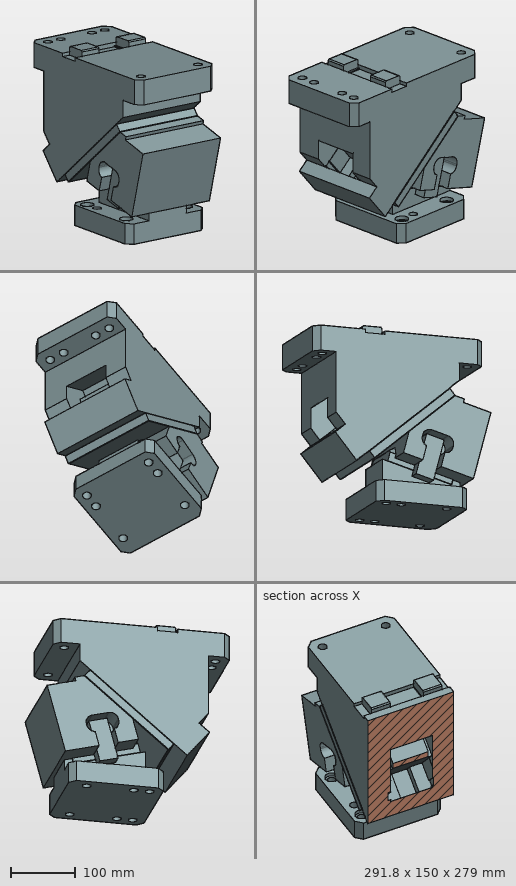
import cadquery as cq
import math

WIDTH = 150.0
CORNER = 10.4
SLIDE_ANGLE = 40.0
TRAVEL_ANGLE = -15.0
HOLE_DIAMETER = 13.5

PLATE_LENGTH = 280.0
PLATE_TOP = 270.0
PLATE_THICKNESS = 40.0
WEDGE_LEFT = 35.5
WEDGE_RIGHT = 239.7
TIP_X = 69.5
TIP_Z = 59.4
LEDGE_HEIGHT = 55.2
LEDGE_DEPTH = 21.6
DRIVER_HOLE_X = (20.0, 260.0)
DRIVER_HOLE_Y = 55.0
EXTRA_HOLE_Y = 30.0
GROOVE_LEFT = 84.2
GROOVE_WIDTH = 32.4
GROOVE_DEPTH = 5.5
GROOVE_POCKET_DEPTH = 1.6
GROOVE_POCKET_Y = (-28.7, 25.0)
KEY_LENGTH = 32.4
KEY_Y = 45.0
KEY_TOP = 279.0
KEY_CHAMFER = 2.0

WINDOW_Y = (-38.0, 35.0)
WINDOW_TOP_Z = 165.0
WINDOW_END = 63.0
SIDE_SHELF = 70.0
CORE_SHELF = 80.7
CORE_Y = (-30.5, 31.0)
SHELF_END = 100.0
POCKET_FLOOR = 19.0
POCKET_WALL_INSET = 0.3
RUNNER_INNER_Y = 16.0
RUNNER_HEIGHT = 13.0
CHEEK_START = 24.0
CHEEK_END = 33.5
CHEEK_Y = 39.0

SLIDER_X = 262.9
SLIDER_Z = 47.8
SLIDER_LENGTH = 120.0
SLIDER_HEIGHT = 111.6
STEP_HEIGHT = 5.8
STEP_INSET = 47.0
FOOT_WIDTH = 76.0
FOOT_LEFT = 130.0
FOOT_RIGHT = 20.4
FOOT_DEPTH = 8.2
NOSE_SHOULDER = 11.0
NOSE_TOP = 21.0
NOSE_CHAMFER_START = 6.5
KEEPER_CENTRE = 71.2
KEEPER_WIDTH = 30.0
KEEPER_TOP = 49.0
KEEPER_BOTTOM = -18.5
KEEPER_OUTER_Y = 56.7
SLOT_CLEARANCE = 0.7
SLOT_EYE_LENGTH = 52.4
SLOT_EYE_WIDTH = 27.5
SLOT_EYE_RADIUS = 12.5
SLOT_EYE_HEIGHT = 37.5

WEAR_START = 27.2
WEAR_END = 200.8
WEAR_BOTTOM = 14.4
WEAR_CHAMFER = 0.8

BASE_LEFT = 105.0
BASE_LENGTH = 150.3
BASE_THICKNESS = 33.0
BLOCK_LEFT = 126.9
BLOCK_WIDTH = 72.0
BASE_BOLT_X = (125.0, 225.0)
BASE_DOWEL_X = 150.0
BASE_HOLE_Y = 57.5
COUNTERBORE_DIAMETER = 21.0
COUNTERBORE_DEPTH = 6.0

BASE_RIGHT = BASE_LEFT + BASE_LENGTH
WEDGE_TOP = PLATE_TOP - PLATE_THICKNESS
BIG = 400.0


def direction(angle):
    """Cosine and sine of an angle in degrees."""
    return math.cos(math.radians(angle)), math.sin(math.radians(angle))


def side_plane(x, z, angle):
    """Plane facing -Y whose local x axis is turned by angle in the XZ plane."""
    c, s = direction(angle)
    return cq.Plane(origin=(x, 0, z), xDir=(c, 0, s), normal=(0, -1, 0))


UPRIGHT = side_plane(0, 0, 0)
SLIDE = side_plane(TIP_X, TIP_Z, SLIDE_ANGLE)
SEAT = side_plane(SLIDER_X, SLIDER_Z, TRAVEL_ANGLE)


def world_xz(plane, along, square):
    """X and Z of a point given in one of the side planes."""
    point = plane.toWorldCoords((along, square))
    return point.x, point.z


def prism(plane, points, y_min, y_max):
    """Closed outline on a side plane, extruded from y_min to y_max."""
    solid = cq.Workplane(plane).polyline(points).close().extrude(y_max - y_min)
    return solid.translate((0, y_max, 0))


def bar(plane, along, square, y_range):
    """Rectangular prism given by its ranges along and square to a side plane and in Y."""
    a0, a1 = along
    s0, s1 = square
    return prism(plane, [(a0, s0), (a1, s0), (a1, s1), (a0, s1)], *y_range)


def both_sides(inner, outer):
    """Mirrored Y ranges on the two sides of the centre plane."""
    return ((inner, outer), (-outer, -inner))


FULL_Y = (-WIDTH / 2, WIDTH / 2)


def mounting_plate(left, length, bottom, thickness):
    plate = cq.Workplane("XY").box(length, WIDTH, thickness, centered=(False, True, False))
    return plate.edges("|Z").chamfer(CORNER).translate((left, 0, bottom))


def vertical_holes(points, diameter, bottom, height):
    return cq.Workplane("XY", origin=(0, 0, bottom)).pushPoints(points).circle(diameter / 2).extrude(height)


def driver_wedge():
    cos_slide, sin_slide = direction(SLIDE_ANGLE)
    notch_x, notch_z = world_xz(SLIDE, LEDGE_DEPTH, LEDGE_HEIGHT)
    outline = [
        (WEDGE_LEFT, WEDGE_TOP),
        (WEDGE_LEFT, notch_z + (notch_x - WEDGE_LEFT) * cos_slide / sin_slide),
        (notch_x, notch_z),
        world_xz(SLIDE, 0, LEDGE_HEIGHT),
        (TIP_X, TIP_Z),
        (WEDGE_RIGHT, TIP_Z + (WEDGE_RIGHT - TIP_X) * sin_slide / cos_slide),
        (WEDGE_RIGHT, WEDGE_TOP),
    ]
    return prism(UPRIGHT, outline, *FULL_Y)


def driver_window():
    """Opening above the ledge, with a pocket that drops behind the ledge."""
    roof = SLIDE.toLocalCoords(cq.Vector(WEDGE_LEFT, 0, WINDOW_TOP_Z)).y
    window = bar(SLIDE, (-LEDGE_DEPTH, WINDOW_END), (LEDGE_HEIGHT, roof), WINDOW_Y)
    beyond = (WINDOW_END, SHELF_END)
    window = window.union(bar(SLIDE, beyond, (CORE_SHELF, roof), WINDOW_Y))
    for y_range in ((WINDOW_Y[0], CORE_Y[0]), (CORE_Y[1], WINDOW_Y[1])):
        window = window.union(bar(SLIDE, beyond, (SIDE_SHELF, CORE_SHELF), y_range))
    behind_ledge = (LEDGE_DEPTH, WINDOW_END)
    depth = (POCKET_FLOOR, LEDGE_HEIGHT)
    pocket_y = (WINDOW_Y[0] + POCKET_WALL_INSET, WINDOW_Y[1] - POCKET_WALL_INSET)
    window = window.union(bar(SLIDE, behind_ledge, depth, pocket_y))
    window = window.union(bar(SLIDE, (CHEEK_START, CHEEK_END), depth, (-CHEEK_Y, CHEEK_Y)))
    between_runners = (-RUNNER_INNER_Y, RUNNER_INNER_Y)
    deep = (POCKET_FLOOR - RUNNER_HEIGHT, POCKET_FLOOR)
    return window.union(bar(SLIDE, behind_ledge, deep, between_runners))


def key_groove():
    along = (GROOVE_LEFT, GROOVE_LEFT + GROOVE_WIDTH)
    floor = PLATE_TOP - GROOVE_DEPTH
    groove = bar(UPRIGHT, along, (floor, KEY_TOP), FULL_Y)
    return groove.union(bar(UPRIGHT, along, (floor - GROOVE_POCKET_DEPTH, floor), GROOVE_POCKET_Y))


def key(y_range):
    floor = PLATE_TOP - GROOVE_DEPTH
    block = bar(UPRIGHT, (GROOVE_LEFT, GROOVE_LEFT + GROOVE_WIDTH), (floor, KEY_TOP), y_range)
    return block.faces(">Z").edges("|Y").chamfer(KEY_CHAMFER)


def make_driver():
    body = mounting_plate(0, PLATE_LENGTH, WEDGE_TOP, PLATE_THICKNESS).union(driver_wedge())
    body = body.cut(driver_window()).cut(key_groove())
    for y_range in both_sides(KEY_Y - KEY_LENGTH / 2, KEY_Y + KEY_LENGTH / 2):
        body = body.union(key(y_range))
    points = [(x, side * DRIVER_HOLE_Y) for x in DRIVER_HOLE_X for side in (-1, 1)]
    points += [(DRIVER_HOLE_X[0], side * EXTRA_HOLE_Y) for side in (-1, 1)]
    return body.cut(vertical_holes(points, HOLE_DIAMETER, WEDGE_TOP, PLATE_THICKNESS))


def slider_body():
    apex = SEAT.toLocalCoords(SLIDE.toWorldCoords((WEAR_END, -WEAR_BOTTOM)))
    slope = math.tan(math.radians(SLIDE_ANGLE - TRAVEL_ANGLE))
    left_top = apex.y - (apex.x + SLIDER_LENGTH) * slope
    outline = [
        (0, 0),
        (0, SLIDER_HEIGHT),
        (-STEP_INSET, SLIDER_HEIGHT),
        (-STEP_INSET, SLIDER_HEIGHT + STEP_HEIGHT),
        (apex.x, apex.y),
        (-SLIDER_LENGTH, left_top),
        (-SLIDER_LENGTH, 0),
    ]
    return prism(SEAT, outline, *FULL_Y)


def wear_plate():
    plate = bar(SLIDE, (WEAR_START, WEAR_END), (-WEAR_BOTTOM, 0), FULL_Y)
    sliding_and_seated_faces = plate.faces(cq.selectors.ParallelDirSelector(SLIDE.yDir))
    return sliding_and_seated_faces.edges().chamfer(WEAR_CHAMFER)


def foot():
    """Narrow foot on the base block, with a sloped nose in front of the slider."""
    half = FOOT_WIDTH / 2
    sole = bar(SEAT, (-FOOT_LEFT, -FOOT_RIGHT), (-FOOT_DEPTH, 0), (-half, half))
    outline = [
        (-FOOT_LEFT, 0),
        (-SLIDER_LENGTH, 0),
        (-SLIDER_LENGTH, NOSE_TOP),
        (-FOOT_LEFT, NOSE_SHOULDER),
    ]
    nose = prism(SEAT, outline, -half, half)
    rise = NOSE_TOP - NOSE_CHAMFER_START
    front = cq.Plane(
        origin=SEAT.toWorldCoords((-FOOT_LEFT, 0)).toTuple(), xDir=(0, 1, 0), normal=SEAT.xDir.toTuple()
    )
    section = [
        (-half, 0),
        (half, 0),
        (half, NOSE_CHAMFER_START),
        (half - rise, NOSE_TOP),
        (rise - half, NOSE_TOP),
        (-half, NOSE_CHAMFER_START),
    ]
    roof = cq.Workplane(front).polyline(section).close().extrude(FOOT_LEFT - SLIDER_LENGTH)
    return sole.union(nose.intersect(roof))


def keeper_slot(y_range):
    """Slot open at the bottom of the slider side, with a wider rounded eye at its top."""
    half = KEEPER_WIDTH / 2 + SLOT_CLEARANCE
    slot = bar(SEAT, (-KEEPER_CENTRE - half, -KEEPER_CENTRE + half), (0, SLOT_EYE_HEIGHT), y_range)
    eye = bar(
        SEAT,
        (-KEEPER_CENTRE - SLOT_EYE_LENGTH / 2, -KEEPER_CENTRE + SLOT_EYE_LENGTH / 2),
        (SLOT_EYE_HEIGHT - SLOT_EYE_WIDTH / 2, SLOT_EYE_HEIGHT + SLOT_EYE_WIDTH / 2),
        y_range,
    )
    eye = eye.edges("|Y").fillet(SLOT_EYE_RADIUS)
    return slot.union(eye)


def keeper(y_range):
    half = KEEPER_WIDTH / 2
    along = (-KEEPER_CENTRE - half, -KEEPER_CENTRE + half)
    return bar(SEAT, along, (KEEPER_BOTTOM, KEEPER_TOP), y_range)


def make_slider():
    body = slider_body().union(wear_plate()).union(foot())
    for y_range in both_sides(FOOT_WIDTH / 2, WIDTH / 2):
        body = body.cut(keeper_slot(y_range))
    for y_range in both_sides(FOOT_WIDTH / 2, KEEPER_OUTER_Y):
        body = body.union(keeper(y_range))
    return body


def base_block():
    """Block whose sloped top carries the foot and steps up behind it to the slider."""
    half = BLOCK_WIDTH / 2
    above_seat = bar(SEAT, (-BIG, BIG), (0, BIG), FULL_Y)
    foot_path = bar(SEAT, (-BIG, -FOOT_RIGHT), (-FOOT_DEPTH, 0), FULL_Y)
    block = bar(UPRIGHT, (BLOCK_LEFT, BASE_RIGHT), (0, PLATE_TOP), (-half, half))
    return block.cut(above_seat).cut(foot_path)


def make_base():
    body = mounting_plate(BASE_LEFT, BASE_LENGTH, 0, BASE_THICKNESS).union(base_block())
    bolts = [(x, side * BASE_HOLE_Y) for x in BASE_BOLT_X for side in (-1, 1)]
    dowels = [(BASE_DOWEL_X, side * BASE_HOLE_Y) for side in (-1, 1)]
    body = body.cut(vertical_holes(bolts + dowels, HOLE_DIAMETER, 0, BASE_THICKNESS))
    seat_z = BASE_THICKNESS - COUNTERBORE_DEPTH
    return body.cut(vertical_holes(bolts, COUNTERBORE_DIAMETER, seat_z, COUNTERBORE_DEPTH))


driver = make_driver()
slider = make_slider()
base = make_base()

result = cq.Compound.makeCompound([driver.val(), slider.val(), base.val()])